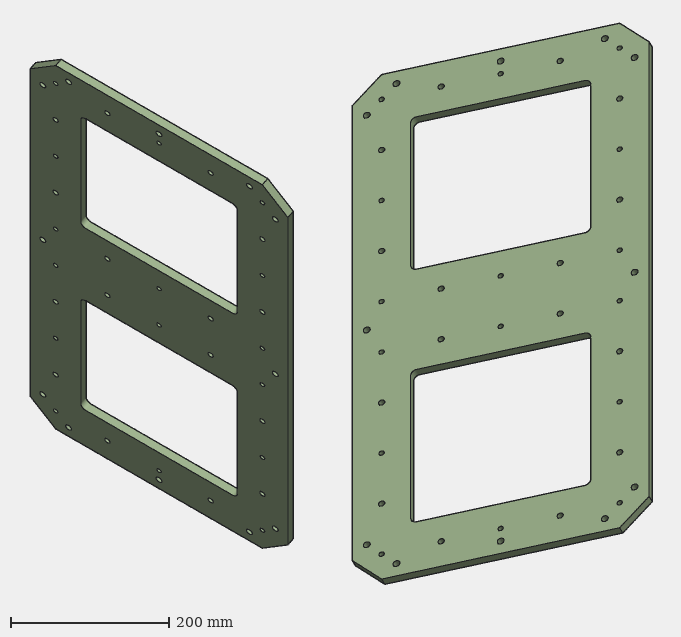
import cadquery as cq

width = 399.0
height = 799.0
thickness = 12.0
corner_chamfer = 39.5

window_width = 242.0
window_height = 241.0
window_corner_radius = 8.0

pitch = 80.0
column_x = 2 * pitch
middle_row_z = pitch / 2
end_row_z = middle_row_z + 4 * pitch
window_mid_row_z = (end_row_z + middle_row_z) / 2

mount_outset = 20.0
mount_x = column_x + mount_outset
mount_z = end_row_z + mount_outset
mount_corner_step = 40.0

mount_diameter = 9.0
bolt_diameter = 8.0
pin_diameter = 6.8


def mirrored(points):
    """Return the points with their mirror images in X and Z, without repeats."""
    images = set()
    for x, z in points:
        images.update({(x, z), (-x, z), (x, -z), (-x, -z)})
    return sorted(images)


def front_plane():
    """Workplane on the mid-plane of the plate, with local axes along X and Z."""
    return cq.Workplane("XZ")


def make_plate():
    blank = cq.Workplane("XY").box(width, thickness, height)
    return blank.edges("|Y").chamfer(corner_chamfer)


def make_windows():
    centres = mirrored([(0, window_mid_row_z)])
    sketch = front_plane().pushPoints(centres).rect(window_width, window_height)
    return sketch.extrude(thickness, both=True).edges("|Y").fillet(window_corner_radius)


def make_holes(points, diameter):
    sketch = front_plane().pushPoints(mirrored(points)).circle(diameter / 2)
    return sketch.extrude(thickness, both=True)


mount_points = [
    (0, mount_z),
    (mount_x - mount_corner_step, mount_z),
    (mount_x, mount_z - mount_corner_step),
    (mount_x, 0),
]
bolt_points = [
    (pitch, end_row_z),
    (pitch, middle_row_z),
    (column_x, window_mid_row_z + pitch),
    (column_x, window_mid_row_z - pitch),
]
pin_points = [
    (0, end_row_z),
    (0, middle_row_z),
    (column_x, end_row_z),
    (column_x, window_mid_row_z),
    (column_x, middle_row_z),
]

result = make_plate().cut(make_windows())
for points, diameter in [
    (mount_points, mount_diameter),
    (bolt_points, bolt_diameter),
    (pin_points, pin_diameter),
]:
    result = result.cut(make_holes(points, diameter))